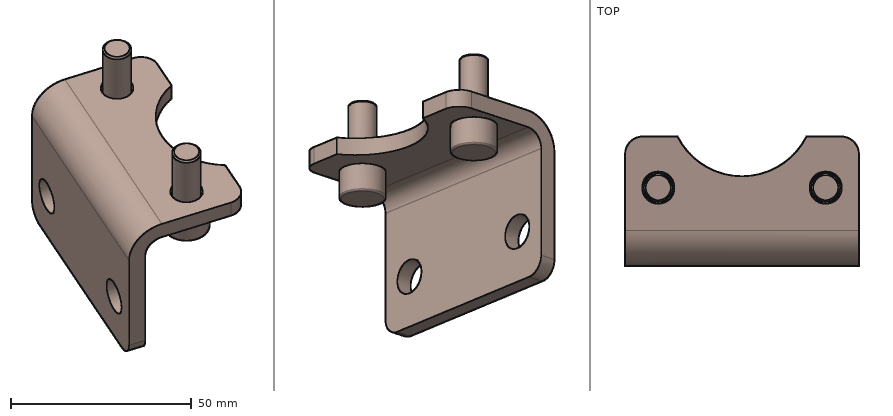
import cadquery as cq

width = 65.0
depth = 36.0
bracket_height = 47.0
thickness = 5.0
bend_outer_radius = 10.0
bend_inner_radius = bend_outer_radius - thickness
corner_radius = 5.0

mount_hole_diameter = 10.0
mount_hole_spacing = 45.0
mount_hole_height = 15.0

cutout_radius = 20.0
cutout_center_y = 45.0

screw_diameter = 8.0
screw_clearance_diameter = 9.0
screw_spacing = 46.5
screw_y = 21.8
screw_projection = 15.0
screw_tip_chamfer = 0.5
head_diameter = 13.0
head_height = 8.0
head_edge_fillet = 0.5

top_leg_underside = bracket_height - thickness
screw_positions = [(side * screw_spacing / 2, screw_y) for side in (-1, 1)]


def make_bent_plate():
    """L-shaped strip with a rounded bend and rounded free corners."""
    upright = cq.Workplane("XY").box(width, thickness, bracket_height, centered=(True, False, False))
    top_leg = (
        cq.Workplane("XY")
        .workplane(offset=top_leg_underside)
        .box(width, depth, thickness, centered=(True, False, False))
    )
    plate = upright.union(top_leg)
    plate = plate.edges("|X and <Y and >Z").fillet(bend_outer_radius)
    inner_corner = cq.selectors.NearestToPointSelector((0, thickness, top_leg_underside))
    plate = plate.edges(inner_corner).fillet(bend_inner_radius)
    plate = plate.faces("<Z").edges("|Y").fillet(corner_radius)
    return plate.faces(">Y").edges("|Z").fillet(corner_radius)


def make_bracket():
    """Bent plate with its mounting holes, screw holes and edge cutout."""
    mount_holes = (
        cq.Workplane("XZ")
        .pushPoints([(side * mount_hole_spacing / 2, mount_hole_height) for side in (-1, 1)])
        .circle(mount_hole_diameter / 2)
        .extrude(-thickness)
    )
    top_leg_plane = cq.Workplane("XY").workplane(offset=top_leg_underside)
    screw_holes = (
        top_leg_plane.pushPoints(screw_positions)
        .circle(screw_clearance_diameter / 2)
        .extrude(thickness)
    )
    edge_cutout = top_leg_plane.center(0, cutout_center_y).circle(cutout_radius).extrude(thickness)
    return make_bent_plate().cut(mount_holes).cut(screw_holes).cut(edge_cutout)


def make_screw(x, y):
    """Screw whose head bears on the underside of the top leg, tip pointing up."""
    seat = cq.Workplane("XY", origin=(x, y, top_leg_underside))
    head = seat.circle(head_diameter / 2).extrude(-head_height)
    head = head.faces("<Z").edges().fillet(head_edge_fillet)
    shank = seat.circle(screw_diameter / 2).extrude(thickness + screw_projection)
    shank = shank.faces(">Z").edges().chamfer(screw_tip_chamfer)
    return head.union(shank)


bracket = make_bracket()
screws = [make_screw(x, y) for x, y in screw_positions]

result = cq.Compound.makeCompound([bracket.val(), *[screw.val() for screw in screws]])